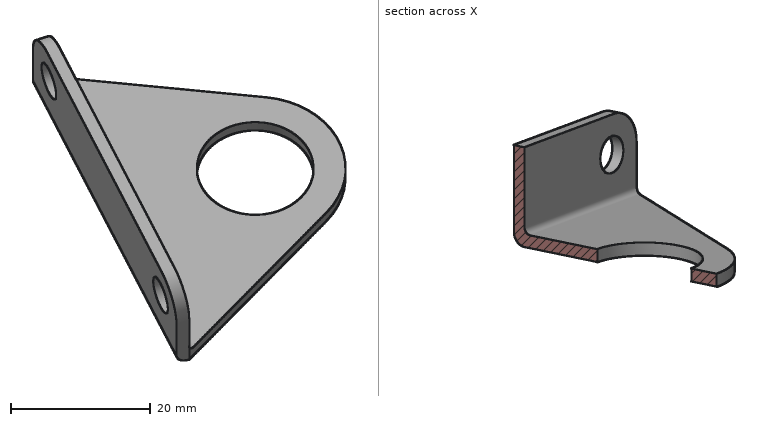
import cadquery as cq
import math

width = 54.0
depth = 36.45
height = 15.0
thickness = 2.0

outer_bend_radius = 2.0
inner_bend_radius = 0.95

nose_radius = 13.0
nose_y = depth - nose_radius
large_hole_diameter = 16.8

corner_radius = 5.5
mount_hole_diameter = 5.5
mount_hole_inset = 6.0

half_width = width / 2


def bent_strip():
    """L-shaped bent sheet, full width, with rounded bend."""
    profile = (
        cq.Workplane("YZ")
        .polyline([
            (0, 0),
            (depth, 0),
            (depth, thickness),
            (thickness, thickness),
            (thickness, height),
            (0, height),
        ])
        .close()
        .extrude(half_width, both=True)
    )
    bend_edges = profile.edges("|X")
    inner = cq.selectors.NearestToPointSelector((0, thickness, thickness))
    outer = cq.selectors.NearestToPointSelector((0, 0, 0))
    profile = bend_edges.edges(inner).fillet(inner_bend_radius)
    return profile.edges("|X").edges(outer).fillet(outer_bend_radius)


def plan_outline():
    """Plan shape: straight flange strip, then sides tangent to the round nose."""
    rise = nose_y - thickness
    corner_to_nose = math.hypot(half_width, rise)
    tangent_angle = math.acos(nose_radius / corner_to_nose) - math.atan2(rise, half_width)
    tangent_x = nose_radius * math.cos(tangent_angle)
    tangent_y = nose_y + nose_radius * math.sin(tangent_angle)
    return (
        cq.Workplane("XY")
        .moveTo(-half_width, 0)
        .lineTo(half_width, 0)
        .lineTo(half_width, thickness)
        .lineTo(tangent_x, tangent_y)
        .threePointArc((0, depth), (-tangent_x, tangent_y))
        .lineTo(-half_width, thickness)
        .close()
        .extrude(height)
    )


def large_hole():
    """Cutter for the hole concentric with the nose."""
    return (
        cq.Workplane("XY")
        .center(0, nose_y)
        .circle(large_hole_diameter / 2)
        .extrude(thickness)
    )


def mount_holes():
    """Cutters for the two holes through the flange."""
    hole_x = half_width - mount_hole_inset
    hole_z = height - mount_hole_inset
    return (
        cq.Workplane("XZ")
        .pushPoints([(-hole_x, hole_z), (hole_x, hole_z)])
        .circle(mount_hole_diameter / 2)
        .extrude(-thickness)
    )


bracket = bent_strip().intersect(plan_outline())
flange_corner_box = cq.selectors.BoxSelector(
    (-width, -thickness, height / 2), (width, 2 * thickness, 2 * height)
)
bracket = bracket.edges("|Y").edges(flange_corner_box).fillet(corner_radius)
result = bracket.cut(large_hole()).cut(mount_holes())